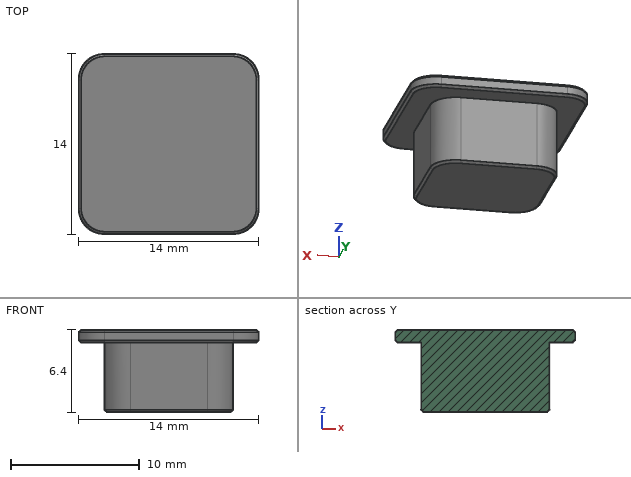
import cadquery as cq

cap_side = 14.0
cap_thickness = 1.0
stem_side = 10.0
total_height = 6.4
stem_height = total_height - cap_thickness
corner_radius = 2.0
edge_chamfer = 0.2


def rounded_block(side, height, base_z):
    """Square block centred on the Z axis, with rounded vertical edges."""
    block = cq.Workplane("XY").workplane(offset=base_z).rect(side, side).extrude(height)
    return block.edges("|Z").fillet(corner_radius)


stem = rounded_block(stem_side, stem_height, 0).faces("<Z").edges().chamfer(edge_chamfer)

cap = rounded_block(cap_side, cap_thickness, stem_height)
cap = cap.faces("<Z or >Z").edges().chamfer(edge_chamfer)

result = stem.union(cap)